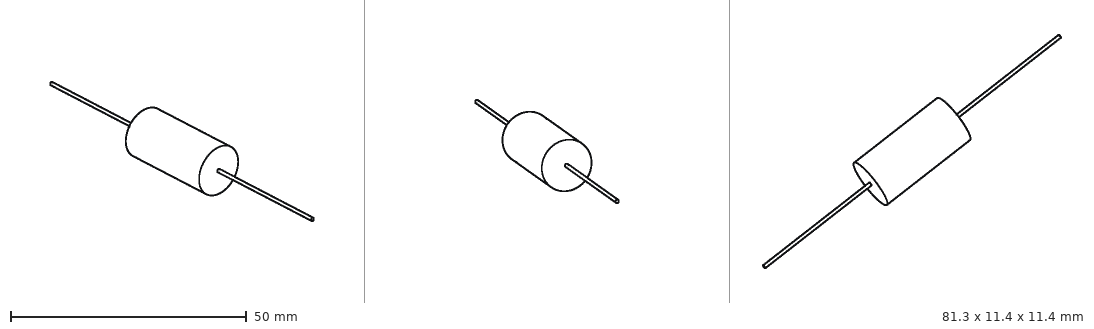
import cadquery as cq

overall_length = 81.3
body_length = 22.85
body_diameter = 11.4
lead_diameter = 0.8


def centred_rod(diameter, length):
    """Cylinder along X, centred on the origin."""
    start_plane = cq.Workplane("YZ").workplane(offset=-length / 2)
    return start_plane.circle(diameter / 2).extrude(length)


body = centred_rod(body_diameter, body_length)
leads = centred_rod(lead_diameter, overall_length)

result = body.union(leads)